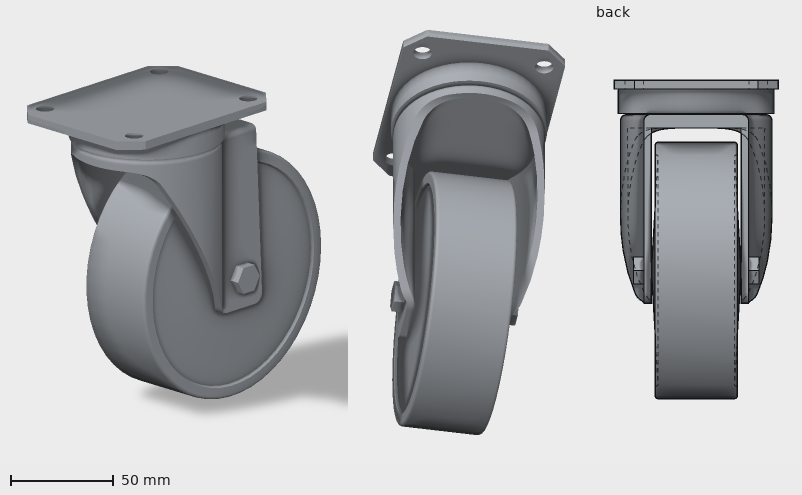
import cadquery as cq

overall_height = 155.0

plate_width = 80.0
plate_length = 105.1
plate_thickness = 4.3
plate_corner_cut = 10.0
bolt_hole_diameter = 9.0
bolt_hole_spacing_x = 60.1
bolt_hole_spacing_y = 80.0

drum_radius = 38.0
drum_height = 12.0
drum_top_edge_radius = 3.0
drum_sunk_height = 2.0
neck_radius = 31.0
neck_height = 0.5

wheel_radius = 62.5
wheel_half_width = 20.0
tread_edge_radius = 1.5
rim_inner_radius = 56.5
disc_radius = 55.8
disc_edge_half_width = 18.6
hub_half_width = 21.9
trail = 40.0
axle_height = wheel_radius

fork_radius = 36.9
fork_wall = 3.5
fork_web_thickness = 6.5
arm_half_width = 25.4
arm_blend_radius = 5.5
fork_top_edge_radius = 3.0
fork_bottom = 46.5
fork_rear_top = 50.2
fork_rear_bottom = 54.7
fork_slope_top = -25.0
fork_slope_bottom = 24.6
web_corner_radius = 14.7
foot_front_radius = 10.0
foot_rear_radius = 5.0

axle_radius = 4.0
hex_across_corners = 15.2
hex_head_height = 5.1

plate_bottom = overall_height - plate_thickness
drum_bottom = plate_bottom - drum_height
fork_top = drum_bottom - neck_height
web_bottom = fork_top - fork_web_thickness


def mounting_plate():
    plate = (
        cq.Workplane("XY")
        .workplane(offset=plate_bottom)
        .rect(plate_width, plate_length)
        .extrude(plate_thickness)
        .edges("|Z")
        .chamfer(plate_corner_cut)
    )
    return (
        plate.faces(">Z")
        .workplane(origin=(0, 0, overall_height))
        .rect(bolt_hole_spacing_x, bolt_hole_spacing_y, forConstruction=True)
        .vertices()
        .hole(bolt_hole_diameter)
    )


def swivel_bearing():
    """The drum's rounded top edge runs up into the plate, so only the start of it stays exposed."""
    drum = (
        cq.Workplane("XY")
        .workplane(offset=drum_bottom)
        .circle(drum_radius)
        .extrude(drum_height + drum_sunk_height)
        .faces(">Z")
        .edges()
        .fillet(drum_top_edge_radius)
    )
    neck = cq.Workplane("XY").workplane(offset=fork_top).circle(neck_radius).extrude(neck_height)
    return drum.union(neck)


def keyhole_prism(radius, half_width, blend_radius, top):
    """Round front with straight sides running back past the fork, blended where they meet."""
    height = top - fork_bottom
    length = 2 * fork_rear_bottom
    base = cq.Workplane("XY").workplane(offset=fork_bottom)
    front = base.circle(radius).extrude(height)
    sides = base.center(0, length / 2).rect(2 * half_width, length).extrude(height)
    junction = cq.selectors.BoxSelector(
        (-radius, half_width / 2, fork_bottom), (radius, radius, top)
    )
    return front.union(sides).edges("|Z").edges(junction).fillet(blend_radius)


def fork_side_profile():
    """Side outline of the fork, extruded across its whole width."""
    profile = (
        cq.Workplane("YZ")
        .polyline(
            [
                (-fork_radius, fork_top),
                (fork_rear_top, fork_top),
                (fork_rear_bottom, fork_bottom),
                (fork_slope_bottom, fork_bottom),
                (fork_slope_top, web_bottom),
                (-fork_radius, web_bottom),
            ]
        )
        .close()
        .extrude(fork_radius, both=True)
    )
    rounded_corners = [
        (fork_rear_bottom, fork_bottom, foot_rear_radius),
        (fork_slope_bottom, fork_bottom, foot_front_radius),
        (fork_slope_top, web_bottom, web_corner_radius),
    ]
    for y, z, radius in rounded_corners:
        corner = cq.selectors.NearestToPointSelector((0, y, z))
        profile = profile.edges("|X").edges(corner).fillet(radius)
    return profile


def fork():
    outside = (
        keyhole_prism(fork_radius, arm_half_width, arm_blend_radius, fork_top)
        .faces(">Z")
        .edges()
        .fillet(fork_top_edge_radius)
    )
    inside = keyhole_prism(
        fork_radius - fork_wall,
        arm_half_width - fork_wall,
        arm_blend_radius + fork_wall,
        web_bottom,
    )
    return outside.cut(inside).intersect(fork_side_profile())


def wheel():
    """Section revolved about the axle: shallow conical discs set inside a plain tread."""
    tread_half_width = wheel_half_width - tread_edge_radius
    return (
        cq.Workplane("XY")
        .moveTo(-hub_half_width, 0)
        .lineTo(hub_half_width, 0)
        .lineTo(disc_edge_half_width, disc_radius)
        .lineTo(wheel_half_width, rim_inner_radius)
        .lineTo(wheel_half_width, wheel_radius - tread_edge_radius)
        .radiusArc((tread_half_width, wheel_radius), -tread_edge_radius)
        .lineTo(-tread_half_width, wheel_radius)
        .radiusArc((-wheel_half_width, wheel_radius - tread_edge_radius), -tread_edge_radius)
        .lineTo(-wheel_half_width, rim_inner_radius)
        .lineTo(-disc_edge_half_width, disc_radius)
        .close()
        .revolve(360, (0, 0, 0), (1, 0, 0))
        .translate((0, trail, axle_height))
    )


def axle_bolt():
    axle_plane = cq.Workplane("YZ").center(trail, axle_height)
    axle = axle_plane.circle(axle_radius).extrude(arm_half_width, both=True)
    head_plane = axle_plane.workplane(offset=arm_half_width)
    head = head_plane.polygon(6, hex_across_corners).extrude(hex_head_height)
    return axle.union(head).union(head.mirror("YZ"))


result = mounting_plate()
for component in (swivel_bearing(), fork(), axle_bolt(), wheel()):
    result = result.union(component)